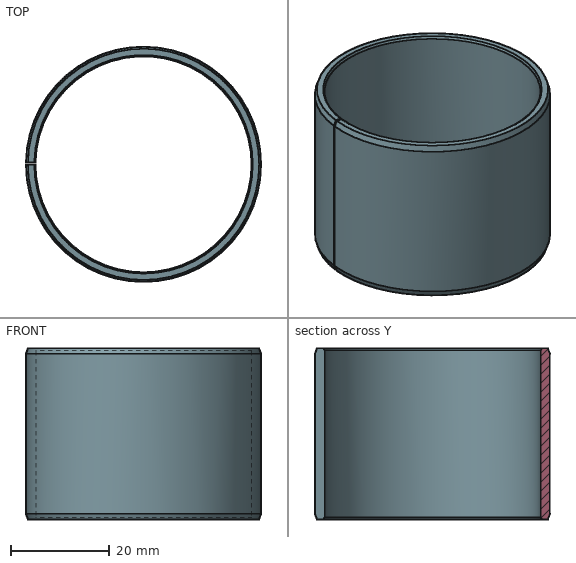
import cadquery as cq

outer_diameter = 48.0
bore_diameter = 44.0
length = 35.0
outer_bevel_length = 1.2
outer_bevel_depth = 0.45
bore_bevel_length = 0.5
bore_bevel_depth = 0.3
split_width = 0.4

outer_radius = outer_diameter / 2
bore_radius = bore_diameter / 2


def sleeve():
    """Revolve the wall section, bevelled at both ends, about Z."""
    section = [
        (bore_radius, bore_bevel_length),
        (bore_radius + bore_bevel_depth, 0),
        (outer_radius - outer_bevel_depth, 0),
        (outer_radius, outer_bevel_length),
        (outer_radius, length - outer_bevel_length),
        (outer_radius - outer_bevel_depth, length),
        (bore_radius + bore_bevel_depth, length),
        (bore_radius, length - bore_bevel_length),
    ]
    return cq.Workplane("XZ").polyline(section).close().revolve(360, (0, 0), (0, 1))


def split_cutter():
    """Slot through the -X wall, with one face on the XZ plane and the other on +Y."""
    return cq.Workplane("XY").box(outer_radius, split_width, length, centered=False).translate(
        (-outer_radius, 0, 0)
    )


result = sleeve().cut(split_cutter())